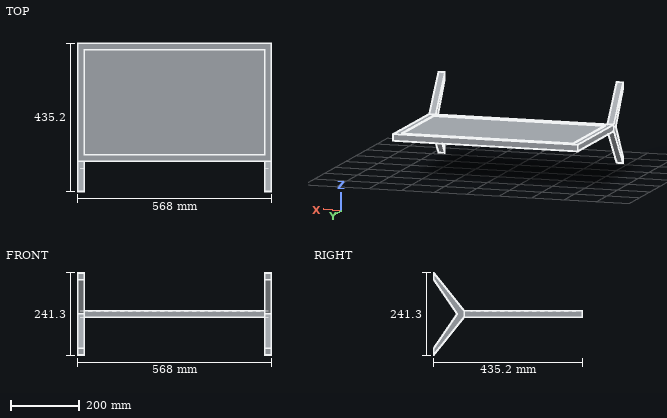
import cadquery as cq

tray_length = 568.0
tray_depth = 346.5
tray_thickness = 20.0
rim_width = 20.0
recess_depth = 2.0

leg_width = rim_width
leg_reach = 88.7
leg_span = 241.27
crotch_reach = 20.4
tip_height = 20.5

half_thickness = tray_thickness / 2
half_span = leg_span / 2
inner_half_span = half_span - tip_height


def make_tray():
    """Tray centred on X and Z, with its front edge on Y = 0 and a shallow recess inside the rim."""
    slab = cq.Workplane("XY").box(
        tray_length, tray_depth, tray_thickness, centered=(True, False, True)
    )
    recess = (
        cq.Workplane("XY", origin=(0, rim_width, half_thickness - recess_depth))
        .box(
            tray_length - 2 * rim_width,
            tray_depth - 2 * rim_width,
            recess_depth,
            centered=(True, False, False),
        )
    )
    return slab.cut(recess)


def make_forked_leg(start_x):
    """V-shaped leg whose root butts against the tray's front edge and whose arms taper to upright tips."""
    outline = [
        (0, half_thickness),
        (-leg_reach, half_span),
        (-leg_reach, inner_half_span),
        (-crotch_reach, 0),
        (-leg_reach, -inner_half_span),
        (-leg_reach, -half_span),
        (0, -half_thickness),
    ]
    return (
        cq.Workplane("YZ", origin=(start_x, 0, 0))
        .polyline(outline)
        .close()
        .extrude(leg_width)
    )


tray = make_tray()
leg_starts = [-tray_length / 2, tray_length / 2 - leg_width]
legs = [make_forked_leg(start_x) for start_x in leg_starts]

result = cq.Compound.makeCompound([tray.val(), *[leg.val() for leg in legs]])